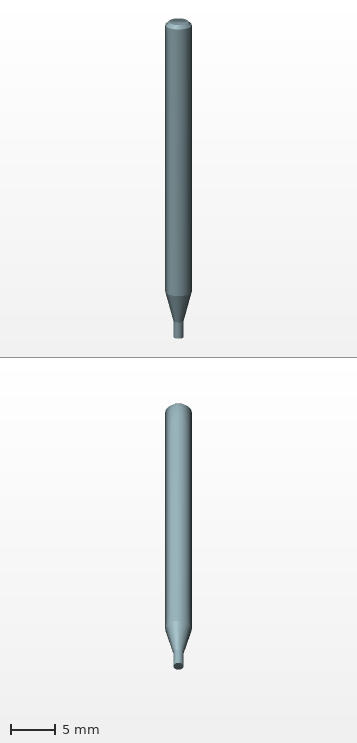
import cadquery as cq

total_length = 38.1
shank_diameter = 3.0
shank_radius = shank_diameter / 2

chamfer_size = 0.4

tip_diameter = 1.2
tip_radius = tip_diameter / 2
tip_length = 1.8
neck_length = 0.2

taper_top = 5.5


def make_tip():
    """Plain cylindrical cutting tip standing on the origin."""
    return cq.Workplane("XY").circle(tip_radius).extrude(tip_length)


def make_shank():
    """Revolved shank: straight neck, taper, long cylinder and top chamfer."""
    neck_top = tip_length + neck_length
    half_profile = (
        cq.Workplane("XZ")
        .moveTo(0, tip_length)
        .lineTo(tip_radius, tip_length)
        .lineTo(tip_radius, neck_top)
        .lineTo(shank_radius, taper_top)
        .lineTo(shank_radius, total_length - chamfer_size)
        .lineTo(shank_radius - chamfer_size, total_length)
        .lineTo(0, total_length)
        .close()
    )
    return half_profile.revolve(360, (0, 0, 0), (0, 1, 0))


tip = make_tip()
shank = make_shank()

result = cq.Compound.makeCompound([tip.val(), shank.val()])